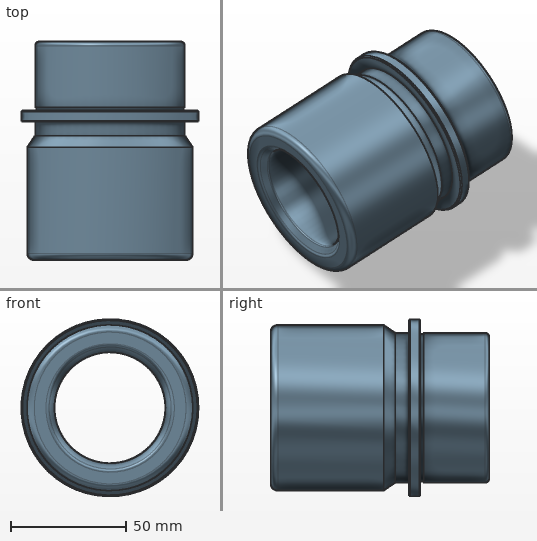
import cadquery as cq
import math

length = 95.0
front_y = -length / 2
back_y = length / 2

body_radius = 36.0
neck_radius = 32.6
flange_diameter = 77.0
flange_radius = flange_diameter / 2
groove_depth = 0.5

body_length = 49.0
taper_length = 5.0
neck_length = 6.0
flange_width = 5.0
groove_width = 1.4

body_round = 3.0
back_round = 2.0
flange_chamfer = 0.6

bore_radius = 24.0
cone_mouth_radius = 26.5
rim_round = 2.0
throat_round = 0.95
cone_angle = math.radians(45)

taper_start_y = front_y + body_length
taper_end_y = taper_start_y + taper_length
flange_front_y = taper_end_y + neck_length
flange_back_y = flange_front_y + flange_width
groove_back_y = flange_back_y + groove_width
rim_depth = rim_round * (1 - math.cos(cone_angle))
cone_start_y = front_y + rim_depth
cone_corner_y = cone_start_y + (cone_mouth_radius - bore_radius) / math.tan(cone_angle)

groove_radius = neck_radius - groove_depth
flange_edge_radius = flange_radius - flange_chamfer
mouth_radius = cone_mouth_radius + rim_round * math.sin(cone_angle)
diagonal = math.sqrt(0.5)


def make_outside():
    """Solid of revolution bounded by the stepped outer surface."""
    body_round_middle = (
        body_radius - body_round * (1 - diagonal),
        front_y + body_round * (1 - diagonal),
    )
    back_round_middle = (
        neck_radius - back_round * (1 - diagonal),
        back_y - back_round * (1 - diagonal),
    )
    profile = (
        cq.Workplane("XY")
        .moveTo(0, front_y)
        .lineTo(body_radius - body_round, front_y)
        .threePointArc(body_round_middle, (body_radius, front_y + body_round))
        .lineTo(body_radius, taper_start_y)
        .lineTo(neck_radius, taper_end_y)
        .lineTo(neck_radius, flange_front_y)
        .lineTo(flange_edge_radius, flange_front_y)
        .lineTo(flange_radius, flange_front_y + flange_chamfer)
        .lineTo(flange_radius, flange_back_y - flange_chamfer)
        .lineTo(flange_edge_radius, flange_back_y)
        .lineTo(groove_radius, flange_back_y)
        .lineTo(groove_radius, groove_back_y)
        .lineTo(neck_radius, groove_back_y)
        .lineTo(neck_radius, back_y - back_round)
        .threePointArc(back_round_middle, (neck_radius - back_round, back_y))
        .lineTo(0, back_y)
        .close()
    )
    return profile.revolve(360, (0, 0, 0), (0, 1, 0))


def make_bore():
    """Through bore with a conical front mouth, rounded at both ends of the cone."""
    half_angle = cone_angle / 2
    rim_middle = (
        mouth_radius - rim_round * math.sin(half_angle),
        front_y + rim_round * (1 - math.cos(half_angle)),
    )
    throat_end_y = cone_corner_y + throat_round * math.tan(half_angle)

    def throat_point(angle):
        """Point on the throat round, turned by angle from its end on the bore."""
        return (
            bore_radius + throat_round * (1 - math.cos(angle)),
            throat_end_y - throat_round * math.sin(angle),
        )

    profile = (
        cq.Workplane("XY")
        .moveTo(0, front_y)
        .lineTo(mouth_radius, front_y)
        .threePointArc(rim_middle, (cone_mouth_radius, cone_start_y))
        .lineTo(*throat_point(cone_angle))
        .threePointArc(throat_point(half_angle), throat_point(0))
        .lineTo(bore_radius, back_y)
        .lineTo(0, back_y)
        .close()
    )
    return profile.revolve(360, (0, 0, 0), (0, 1, 0))


result = make_outside().cut(make_bore())